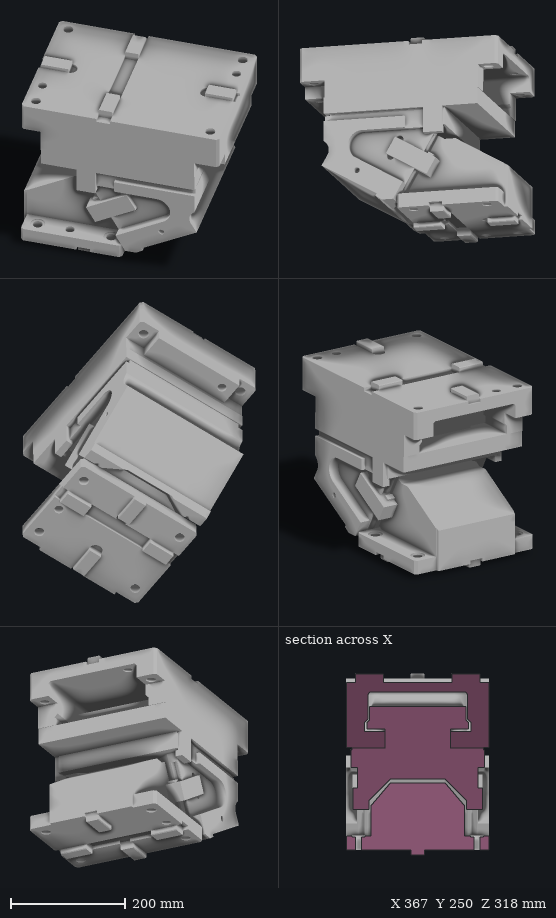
import cadquery as cq
import math


UNIT_WIDTH = 250.0
UNIT_HEIGHT = 318.0
HALF_WIDTH = UNIT_WIDTH / 2
CORNER_CHAMFER = 4.8
EPS = 3.5

KEY_WIDTH = 25.0
KEY_LENGTH = 50.0
KEY_HEIGHT = 15.0
KEY_PROUD = 8.8
KEY_CHAMFER = 1.5
KEY_SINK = KEY_HEIGHT - KEY_PROUD

SCREW_RADIUS = 8.8
DOWEL_RADIUS = 8.0

TILT = 30
COS_TILT = math.cos(math.radians(TILT))
SIN_TILT = math.sin(math.radians(TILT))
TAN_TILT = math.tan(math.radians(TILT))

BASE_LEFT = 6.0
BASE_LENGTH = 184.2
BASE_BOTTOM = KEY_PROUD
BASE_TOP = 34.0
BASE_RIGHT = BASE_LEFT + BASE_LENGTH
NOSE_HALF_WIDTH = 80.7
WEDGE_HALF_WIDTH = 82.2
NOSE_TOP = 84.0
WEDGE_TOP = 138.7
APEX_X, APEX_Z = 124.5, 144.2
FOOT_Z = 39.3
RIDGE_HALF_WIDTH = 47.7
RIDGE_HEIGHT = 20.2
BASE_SCREW_INSET = 25.5
BASE_SCREW_Y = 103.5
SCREW_SEAT_RADIUS = 13.2
SCREW_SEAT_DEPTH = 1.5
BASE_DOWEL_X = 90.0
BASE_CROSS_KEY_X = 120.0
BASE_CROSS_KEY_Y = 88.8

FACE_GAP = 3.0
SLIDE_RIGHT = 322.5
BLOCK_TOP = 185.0
BLOCK_BOTTOM = 25.5
SCALLOP_UPPER = (SLIDE_RIGHT, 138.5)
SCALLOP_MIDDLE = (313.8, 126.0)
SCALLOP_LOWER = (315.5, 113.0)
BLOCK_TIP = (326.5, 94.5)
HEEL_STEP_INNER = (226.0, 37.0)
HEEL_STEP_OUTER = (228.5, 33.0)
HEEL_RIGHT = 216.5
CROSS_BAR_LEFT = 105.5
CROSS_BAR_BOTTOM = 156.5
CROSS_BAR_HALF_WIDTH = 117.0
SPACER_HALF_WIDTH = 115.5
SPACER_LEFT = CROSS_BAR_LEFT
SPACER_RIGHT = 313.8
LEDGE_TOP = 174.5
LEDGE_LEFT = 176.0
RECESS_Y = 105.7
RECESS_TOP = 153.5
RECESS_RADIUS = 25.7
RECESS_END_X = 253.0
GROOVE_HALF_WIDTH = 88.0
VEE_INNER_Y, VEE_ROOT_Y, VEE_OUTER_Y = 91.8, 95.8, 104.0
VEE_TOP = 142.5
VEE_DEPTH = 4.8
SIDE_HOLE_X, SIDE_HOLE_Z = 262.5, 81.5
SIDE_HOLE_RADIUS = 5.0

KEEPER_LENGTH = 85.0
KEEPER_WIDTH = 33.5
KEEPER_X, KEEPER_Z = 167.5, 105.0
KEEPER_INNER_Y, KEEPER_OUTER_Y = 85.0, 114.0
RELIEF_RADIUS = 7.0
STOP_LENGTH = 10.3
STOP_HEIGHT = 4.5
STOP_OUTER_Y = 100.0
STOP_OFFSET = 11.7

HEAD_LEFT = CROSS_BAR_LEFT
HEAD_RIGHT = 264.2
HEAD_TOP = 260.5
HEAD_HALF_WIDTH = 84.8
FLANGE_HALF_WIDTH = 89.0
FLANGE_BOTTOM, FLANGE_TOP = 221.0, 232.3
NECK_HALF_WIDTH = 57.5

PLATE_LEFT, PLATE_RIGHT = 7.0, 367.0
PLATE_TOP = UNIT_HEIGHT - KEY_PROUD
PLATE_BOTTOM_LEFT = 258.5
PLATE_BOTTOM_RIGHT = 248.0
RAIL_LEFT, RAIL_RIGHT = 42.2, 321.5
FLOOR_LEFT, FLOOR_RIGHT = 43.3, 322.5
FLOOR_BOTTOM = 188.0
FLOOR_TOP = 217.3
CHEEK_LEFT, CHEEK_RIGHT = 108.3, 142.0
CHEEK_BOTTOM = 142.0
CHEEK_LIP_TOP = 153.5
CHEEK_LIP_Y = 111.5
CAVITY_RIGHT = 293.5
CAVITY_TOP = 286.0
CAVITY_HALF_WIDTH = 86.5
CAVITY_CORNER = 21.0
CAVITY_FILLET = 6.0
CHANNEL_HALF_WIDTH = 92.5
CHANNEL_SHOULDER = 232.5
END_LUG_BOTTOM = 226.0
HOLDER_SCREW_INSET = 21.3
HOLDER_SCREW_Y = 104.5
HOLDER_DOWELS = [(27.5, -60.0), (345.7, 64.5)]
HOLDER_CROSS_KEY_X = 156.5
HOLDER_CROSS_KEY_Y = 84.8
HOLDER_KEY_X = [36.7, 335.5]


def box(x_span, y_span, z_span):
    """Axis-aligned box from three (low, high) pairs."""
    sizes = [high - low for low, high in (x_span, y_span, z_span)]
    corner = (x_span[0], y_span[0], z_span[0])
    return cq.Workplane("XY").box(*sizes, centered=False).translate(corner)


def centred_box(x_span, half_width, z_span):
    return box(x_span, (-half_width, half_width), z_span)


def prism(points, half_width):
    """Outline in X and Z, extruded equally to both sides of Y = 0."""
    return cq.Workplane("XZ").polyline(points).close().extrude(half_width, both=True)


def both_sides(solid):
    return solid.union(solid.mirror("XZ"))


def upright_hole(x, y, radius, bottom, top):
    return cq.Workplane("XY", origin=(x, y, bottom)).circle(radius).extrude(top - bottom)


def steep_plane(back_off):
    """Sketch plane square to the sliding direction, local x along Y, local y away from the driver."""
    origin = (APEX_X - back_off * SIN_TILT, 0, APEX_Z + back_off * COS_TILT)
    return cq.Plane(origin=origin, xDir=(0, 1, 0), normal=(SIN_TILT, 0, -COS_TILT))


def key(x, y, along_x, face, proud):
    """Key sunk in a mounting face; proud is +1 above the face or -1 below it."""
    size = (KEY_LENGTH, KEY_WIDTH) if along_x else (KEY_WIDTH, KEY_LENGTH)
    centre_z = face + proud * (KEY_PROUD - KEY_HEIGHT / 2)
    exposed = ">Z" if proud > 0 else "<Z"
    long_edges = "|X" if along_x else "|Y"
    block = cq.Workplane("XY").box(*size, KEY_HEIGHT)
    block = block.faces(exposed).edges(long_edges).chamfer(KEY_CHAMFER)
    return block.translate((x, y, centre_z))


def end_keyway(edge_x, key_x, z_span):
    """Keyway along X, open at edge_x and round at its inner end."""
    radius = KEY_WIDTH / 2
    inward = 1 if key_x > edge_x else -1
    round_x = key_x + inward * KEY_LENGTH / 2
    straight = centred_box(sorted((edge_x - inward * EPS, round_x)), radius, z_span)
    return straight.union(upright_hole(round_x, 0, radius, *z_span))


def add_keys(body, face, proud, ends, cross_x, cross_y):
    """Cut the keyways of a mounting face and seat two end keys and two cross keys in them."""
    z_span = sorted((face - proud * KEY_SINK, face + proud * EPS))
    cross_span = (cross_x - KEY_WIDTH / 2, cross_x + KEY_WIDTH / 2)
    body = body.cut(centred_box(cross_span, HALF_WIDTH + EPS, z_span))
    for edge_x, key_x in ends:
        body = body.cut(end_keyway(edge_x, key_x, z_span))
        body = body.union(key(key_x, 0, True, face, proud))
    for y in (-cross_y, cross_y):
        body = body.union(key(cross_x, y, False, face, proud))
    return body


def driver_wedge():
    foot_x = APEX_X + (APEX_Z - FOOT_Z) * TAN_TILT
    undercut_x = foot_x - (FOOT_Z - BASE_TOP) / TAN_TILT
    slope_end_x = (WEDGE_TOP - NOSE_TOP) / TAN_TILT
    step_x = APEX_X - (APEX_Z - WEDGE_TOP) / TAN_TILT
    outline = [
        (0, BASE_BOTTOM),
        (0, NOSE_TOP),
        (slope_end_x, WEDGE_TOP),
        (step_x, WEDGE_TOP),
        (APEX_X, APEX_Z),
        (foot_x, FOOT_Z),
        (undercut_x, BASE_TOP),
        (undercut_x, BASE_BOTTOM),
    ]
    wedge = prism(outline, WEDGE_HALF_WIDTH)
    nose_trim = box((-EPS, BASE_LEFT), (NOSE_HALF_WIDTH, HALF_WIDTH), (0, APEX_Z))
    return wedge.cut(both_sides(nose_trim))


def driver_ridge():
    """Flat-crested guide ridge down the steep face."""
    section = [
        (-WEDGE_HALF_WIDTH, 0),
        (-RIDGE_HALF_WIDTH, RIDGE_HEIGHT),
        (RIDGE_HALF_WIDTH, RIDGE_HEIGHT),
        (WEDGE_HALF_WIDTH, 0),
    ]
    length = (APEX_Z - FOOT_Z) / COS_TILT
    return cq.Workplane(steep_plane(0)).polyline(section).close().extrude(length)


def driver():
    base = centred_box((BASE_LEFT, BASE_RIGHT), HALF_WIDTH, (BASE_BOTTOM, BASE_TOP))
    base = base.edges("|Z").chamfer(CORNER_CHAMFER)
    body = base.union(driver_wedge()).union(driver_ridge())
    for y in (-BASE_SCREW_Y, BASE_SCREW_Y):
        for x in (BASE_LEFT + BASE_SCREW_INSET, BASE_RIGHT - BASE_SCREW_INSET):
            seat_z = BASE_TOP - SCREW_SEAT_DEPTH
            body = body.cut(upright_hole(x, y, SCREW_RADIUS, 0, BASE_TOP))
            body = body.cut(upright_hole(x, y, SCREW_SEAT_RADIUS, seat_z, BASE_TOP))
    body = body.cut(upright_hole(BASE_DOWEL_X, -BASE_SCREW_Y, DOWEL_RADIUS, 0, BASE_TOP))
    ends = [
        (0, BASE_LEFT + KEY_LENGTH / 2),
        (BASE_RIGHT, BASE_RIGHT - KEY_LENGTH / 2),
    ]
    return add_keys(body, BASE_BOTTOM, -1, ends, BASE_CROSS_KEY_X, BASE_CROSS_KEY_Y)


def steep_face_x(z):
    """X of the slide's steep face at height z."""
    return APEX_X + FACE_GAP / COS_TILT + (APEX_Z - z) * TAN_TILT


def slide_block():
    """Full-width tilted block with the scallop on its right side."""
    return (
        cq.Workplane("XZ")
        .moveTo(steep_face_x(BLOCK_TOP), BLOCK_TOP)
        .lineTo(SLIDE_RIGHT, BLOCK_TOP)
        .lineTo(*SCALLOP_UPPER)
        .threePointArc(SCALLOP_MIDDLE, SCALLOP_LOWER)
        .lineTo(*BLOCK_TIP)
        .lineTo(*HEEL_STEP_INNER)
        .lineTo(*HEEL_STEP_OUTER)
        .lineTo(HEEL_RIGHT, BLOCK_BOTTOM)
        .lineTo(steep_face_x(BLOCK_BOTTOM), BLOCK_BOTTOM)
        .close()
        .extrude(HALF_WIDTH, both=True)
    )


def side_recess():
    """Recess in the -Y side, open to the left, round where its two edges meet."""
    centre_z = RECESS_TOP - RECESS_RADIUS
    tangent = (RECESS_END_X + RECESS_RADIUS * SIN_TILT, centre_z - RECESS_RADIUS * COS_TILT)
    middle = (RECESS_END_X + RECESS_RADIUS * COS_TILT, centre_z + RECESS_RADIUS * SIN_TILT)
    low_z = tangent[1] - (tangent[0] - CROSS_BAR_LEFT) * TAN_TILT
    return (
        cq.Workplane("XZ", origin=(0, -RECESS_Y, 0))
        .moveTo(CROSS_BAR_LEFT, RECESS_TOP)
        .lineTo(RECESS_END_X, RECESS_TOP)
        .threePointArc(middle, tangent)
        .lineTo(CROSS_BAR_LEFT, low_z)
        .close()
        .extrude(HALF_WIDTH)
    )


def upper_side_trim():
    """Material removed from the -Y side above and to the left of the raised side ledge."""
    y_span = (-HALF_WIDTH - EPS, -CROSS_BAR_HALF_WIDTH)
    above = box((0, SLIDE_RIGHT), y_span, (LEDGE_TOP, BLOCK_TOP))
    left = box((0, LEDGE_LEFT), y_span, (RECESS_TOP, BLOCK_TOP))
    return above.union(left)


def guide_groove():
    """Groove in the steep face that clears the driver's ridge, open at both ends."""
    crest = RIDGE_HEIGHT + FACE_GAP
    section = [
        (-GROOVE_HALF_WIDTH, 0),
        (-GROOVE_HALF_WIDTH, FACE_GAP),
        (-RIDGE_HALF_WIDTH, crest),
        (RIDGE_HALF_WIDTH, crest),
        (GROOVE_HALF_WIDTH, FACE_GAP),
        (GROOVE_HALF_WIDTH, 0),
    ]
    back_off = BLOCK_TOP - APEX_Z
    return cq.Workplane(steep_plane(back_off)).polyline(section).close().extrude(UNIT_HEIGHT)


def side_vee():
    """Vee groove down the steep face on the +Y side, closed at its upper end."""
    section = [
        (VEE_INNER_Y, 0),
        (VEE_INNER_Y, FACE_GAP),
        (VEE_ROOT_Y, FACE_GAP + VEE_DEPTH),
        (VEE_OUTER_Y, FACE_GAP),
        (VEE_OUTER_Y, 0),
    ]
    back_off = (VEE_TOP - APEX_Z - FACE_GAP * SIN_TILT) / COS_TILT
    return cq.Workplane(steep_plane(back_off)).polyline(section).close().extrude(UNIT_HEIGHT)


def side_hole():
    """Blind hole in the -Y side with a conical drill point."""
    profile = [
        (0, -HALF_WIDTH),
        (SIDE_HOLE_RADIUS, -HALF_WIDTH),
        (SIDE_HOLE_RADIUS, -RECESS_Y),
        (0, -RECESS_Y + SIDE_HOLE_RADIUS * TAN_TILT),
    ]
    hole = cq.Workplane("XY").polyline(profile).close().revolve(360, (0, 0, 0), (0, 1, 0))
    return hole.translate((SIDE_HOLE_X, 0, SIDE_HOLE_Z))


def keeper():
    """Tilted retaining bar on the -Y side, with a small stop on its upper face."""
    depth = KEEPER_OUTER_Y - KEEPER_INNER_Y
    plane = cq.Workplane("XZ", origin=(KEEPER_X, -KEEPER_INNER_Y, KEEPER_Z))
    bar = plane.transformed(rotate=(0, 0, TILT)).rect(KEEPER_LENGTH, KEEPER_WIDTH).extrude(depth)
    stop_centre = (
        -KEEPER_LENGTH / 2 + STOP_OFFSET + STOP_LENGTH / 2,
        KEEPER_WIDTH / 2 + STOP_HEIGHT / 2,
    )
    stop = (
        plane.transformed(rotate=(0, 0, TILT))
        .center(*stop_centre)
        .rect(STOP_LENGTH, STOP_HEIGHT)
        .extrude(STOP_OUTER_Y - KEEPER_INNER_Y)
    )
    return bar.union(stop)


def keeper_reliefs():
    """Round corner reliefs at the right end of the keeper's seat on the -Y side."""
    seat = cq.Workplane("XZ", origin=(KEEPER_X, -KEEPER_INNER_Y, KEEPER_Z))
    corners = [(KEEPER_LENGTH / 2 - RELIEF_RADIUS, side * KEEPER_WIDTH / 2) for side in (-1, 1)]
    seat = seat.transformed(rotate=(0, 0, TILT)).pushPoints(corners)
    return seat.circle(RELIEF_RADIUS).extrude(RECESS_Y - KEEPER_INNER_Y)


def slide_head():
    """Flanged head in the holder's channel, on a stem through the holder's floor."""
    taper_top = FLANGE_TOP + FLANGE_HALF_WIDTH - HEAD_HALF_WIDTH
    half_section = [
        (NECK_HALF_WIDTH, FLOOR_BOTTOM),
        (NECK_HALF_WIDTH, FLANGE_BOTTOM),
        (FLANGE_HALF_WIDTH, FLANGE_BOTTOM),
        (FLANGE_HALF_WIDTH, FLANGE_TOP),
        (HEAD_HALF_WIDTH, taper_top),
        (HEAD_HALF_WIDTH, HEAD_TOP),
    ]
    section = half_section + [(-y, z) for y, z in reversed(half_section)]
    plane = cq.Workplane("YZ", origin=(HEAD_LEFT, 0, 0))
    return plane.polyline(section).close().extrude(HEAD_RIGHT - HEAD_LEFT)


def slide():
    body = slide_block().cut(both_sides(upper_side_trim())).cut(both_sides(side_recess()))
    cross_bar = centred_box(
        (CROSS_BAR_LEFT, LEDGE_LEFT), CROSS_BAR_HALF_WIDTH, (CROSS_BAR_BOTTOM, BLOCK_TOP)
    )
    left_overhang = centred_box((0, LEDGE_LEFT), HALF_WIDTH, (CROSS_BAR_BOTTOM, BLOCK_TOP))
    body = body.cut(left_overhang).cut(guide_groove()).cut(both_sides(side_vee())).union(cross_bar)
    body = body.cut(both_sides(keeper_reliefs())).union(both_sides(keeper()))
    body = body.cut(both_sides(side_hole()))
    spacer = centred_box(
        (SPACER_LEFT, SPACER_RIGHT), SPACER_HALF_WIDTH, (BLOCK_TOP, FLOOR_BOTTOM)
    )
    return body.union(spacer).union(slide_head())


def holder_cavity():
    """Channel for the slide's head below a round-cornered pocket, both open to the left."""
    left = PLATE_LEFT - EPS
    pocket = centred_box((left, CAVITY_RIGHT), CAVITY_HALF_WIDTH, (FLOOR_TOP, CAVITY_TOP))
    pocket = pocket.edges("|Z and >X").fillet(CAVITY_CORNER)
    pocket = pocket.faces(">Z").edges("not <X").fillet(CAVITY_FILLET)
    taper_top = CHANNEL_SHOULDER + CHANNEL_HALF_WIDTH - CAVITY_HALF_WIDTH
    section = [
        (-CHANNEL_HALF_WIDTH, FLOOR_TOP),
        (-CHANNEL_HALF_WIDTH, CHANNEL_SHOULDER),
        (-CAVITY_HALF_WIDTH, taper_top),
        (CAVITY_HALF_WIDTH, taper_top),
        (CHANNEL_HALF_WIDTH, CHANNEL_SHOULDER),
        (CHANNEL_HALF_WIDTH, FLOOR_TOP),
    ]
    channel = cq.Workplane("YZ", origin=(left, 0, 0)).polyline(section).close()
    channel = channel.extrude(CAVITY_RIGHT - CAVITY_CORNER - left)
    return pocket.union(channel)


def holder_floor():
    """Plate under the channel, slotted for the slide's stem, with a hooked cheek on each side."""
    floor = centred_box((FLOOR_LEFT, FLOOR_RIGHT), HALF_WIDTH, (FLOOR_BOTTOM, FLOOR_TOP))
    stem_slot = centred_box((HEAD_LEFT, HEAD_RIGHT), NECK_HALF_WIDTH, (FLOOR_BOTTOM, FLOOR_TOP))
    x_span = (CHEEK_LEFT, CHEEK_RIGHT)
    cheek = box(x_span, (CROSS_BAR_HALF_WIDTH, HALF_WIDTH), (CHEEK_BOTTOM, FLOOR_BOTTOM))
    lip = box(x_span, (CHEEK_LIP_Y, HALF_WIDTH), (CHEEK_BOTTOM, CHEEK_LIP_TOP))
    return floor.cut(stem_slot).union(both_sides(cheek.union(lip)))


def holder():
    plate = centred_box((PLATE_LEFT, PLATE_RIGHT), HALF_WIDTH, (PLATE_BOTTOM_RIGHT, PLATE_TOP))
    plate = plate.edges("|Z").chamfer(CORNER_CHAMFER)
    left_relief = centred_box(
        (0, RAIL_LEFT), HALF_WIDTH + EPS, (PLATE_BOTTOM_RIGHT, PLATE_BOTTOM_LEFT)
    )
    rails = centred_box((RAIL_LEFT, RAIL_RIGHT), HALF_WIDTH, (FLOOR_TOP, PLATE_BOTTOM_LEFT))
    end_lug = centred_box(
        (RAIL_RIGHT, PLATE_RIGHT), CAVITY_HALF_WIDTH, (END_LUG_BOTTOM, PLATE_BOTTOM_RIGHT)
    )
    body = plate.cut(left_relief).union(rails).union(end_lug)
    body = body.cut(holder_cavity()).union(holder_floor())
    for y in (-HOLDER_SCREW_Y, HOLDER_SCREW_Y):
        for x in (PLATE_LEFT + HOLDER_SCREW_INSET, PLATE_RIGHT - HOLDER_SCREW_INSET):
            body = body.cut(upright_hole(x, y, SCREW_RADIUS, FLOOR_TOP, PLATE_TOP))
    for x, y in HOLDER_DOWELS:
        body = body.cut(upright_hole(x, y, DOWEL_RADIUS, FLOOR_TOP, PLATE_TOP))
    ends = list(zip((PLATE_LEFT, PLATE_RIGHT), HOLDER_KEY_X))
    return add_keys(body, PLATE_TOP, 1, ends, HOLDER_CROSS_KEY_X, HOLDER_CROSS_KEY_Y)


result = cq.Compound.makeCompound([driver().val(), slide().val(), holder().val()])